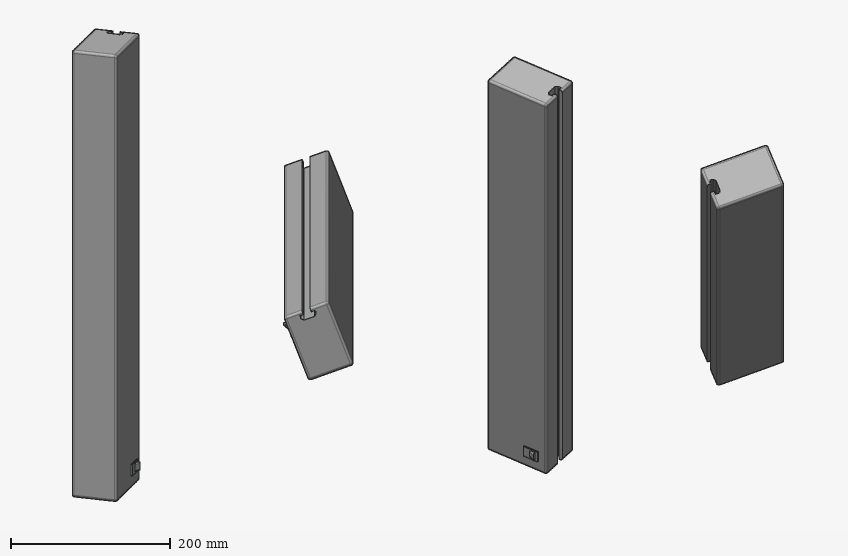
import cadquery as cq

BODY_WIDTH = 60.0
BODY_DEPTH = 90.0
BODY_LENGTH = 593.0
EDGE_RADIUS = 3.25

SLOT_MOUTH = 10.5
SLOT_WIDTH = 20.0
SLOT_DEPTH = 12.5
SLOT_LIP = 5.5
SLOT_BEVEL = 3.0

SWITCH_PROJECTION = 6.0
BEZEL_THICKNESS = 2.0
BEZEL_DEPTH = 21.5
BEZEL_HEIGHT = 15.5
BEZEL_BACK_OFFSET = 12.5
SWITCH_HEIGHT = 24.5
ROCKER_HEIGHT = 11.0
ROCKER_MARGIN = 3.5
ROCKER_DEPTH = 8.5
ROCKER_RADIUS = 2.0

BACK_Y = BODY_DEPTH / 2
SIDE_X = BODY_WIDTH / 2


def make_body():
    """Housing block with every outer edge rounded."""
    block = cq.Workplane("XY").box(BODY_WIDTH, BODY_DEPTH, BODY_LENGTH, centered=(True, True, False))
    return block.edges().fillet(EDGE_RADIUS)


def make_slot():
    """Cutter for the T-slot, with bevelled corners at its floor."""
    floor_y = BACK_Y - SLOT_DEPTH
    mouth = cq.Workplane("XY").box(SLOT_MOUTH, SLOT_DEPTH, BODY_LENGTH, centered=(True, False, False))
    cavity = (
        cq.Workplane("XY")
        .box(SLOT_WIDTH, SLOT_DEPTH - SLOT_LIP, BODY_LENGTH, centered=(True, False, False))
        .edges("|Z and <Y")
        .chamfer(SLOT_BEVEL)
    )
    return mouth.union(cavity).translate((0, floor_y, 0))


def make_switch():
    """Flat bezel carrying a rocker that is tipped out at its back end."""
    back_y = BACK_Y - BEZEL_BACK_OFFSET
    front_y = back_y - BEZEL_DEPTH
    bezel_x = SIDE_X + BEZEL_THICKNESS
    bezel = (
        cq.Workplane("XY")
        .box(BEZEL_THICKNESS, BEZEL_DEPTH, BEZEL_HEIGHT, centered=(False, False, True))
        .translate((SIDE_X, front_y, SWITCH_HEIGHT))
    )
    rocker_y = back_y - ROCKER_MARGIN
    rocker = (
        cq.Workplane("XY", origin=(0, 0, SWITCH_HEIGHT))
        .moveTo(SIDE_X, rocker_y)
        .lineTo(SIDE_X + SWITCH_PROJECTION, rocker_y)
        .lineTo(bezel_x, rocker_y - ROCKER_DEPTH)
        .lineTo(SIDE_X, rocker_y - ROCKER_DEPTH)
        .close()
        .extrude(ROCKER_HEIGHT / 2, both=True)
        .edges("not (|X or |Y or |Z)")
        .fillet(ROCKER_RADIUS)
    )
    return bezel.union(rocker)


result = make_body().cut(make_slot()).union(make_switch())